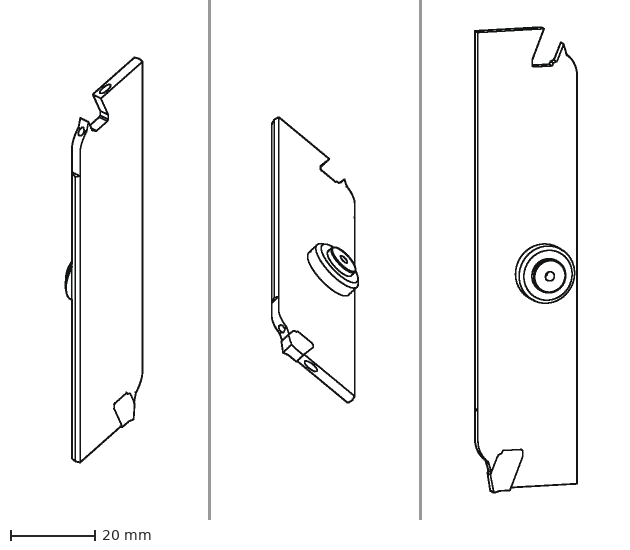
import cadquery as cq
import math

overall_length = 111.0
overall_depth = 8.0
blade_length = 110.0
blade_width = 25.3
blade_thickness = 2.4
ridge_height = 0.3
half_length = blade_length / 2
half_width = blade_width / 2
half_thickness = blade_thickness / 2
shoulder = half_width - ridge_height

nose_radius = 6.5
nose_arc_center_y = nose_radius - shoulder
nose_arc_start_z = 43.3
nose_arc_end_z = 48.5
ridge_end_z = 35.5
ridge_fade = 0.7
nose_tip = (-9.0, 51.1)
nose_bevel = (-9.1, 50.6)

seat_floor_z = 46.0
seat_back_y = -1.2
seat_back_top_z = 47.7
seat_corner = 0.3
jaw_tip_y = -4.1
seat_step = [(-7.5, 47.5), (-7.2, 47.0), (-6.4, 46.6), (-6.1, seat_floor_z)]

cutting_width = 3.0
insert_overhang = 0.7
edge_tip = (-8.4, overall_length - half_length)
insert_heel = (-9.2, 51.6)
insert_top_z = half_length + insert_overhang
insert_back_top_y = -4.3
rake_start_y = -6.9

outlet_diameter = 1.3
outlet_length = 8.9
jaw_outlet_y = -0.8
jaw_outlet_angle = 20
nose_outlet_y = -10.2

connector_y = -3.9
connector_z = -3.7
flange_radius = 6.9
flange_height = 2.9
flange_chamfer = 0.9
spigot_radius = 4.0
spigot_chamfer = 0.2
bore_radius = 1.1
connector_height = overall_depth - cutting_width / 2 - half_thickness


def turned_end_for_end(body):
    """Half a turn about the X axis: the upper end of the blade becomes the lower one."""
    return body.rotate((0, 0, 0), (1, 0, 0), 180)


def across_blade(sketch, thickness):
    return sketch.extrude(thickness / 2, both=True)


def seat_outline():
    """Points of the seat from the nose tip, along the floor, to the jaw tip."""
    return [
        nose_tip,
        *seat_step,
        (seat_back_y - seat_corner, seat_floor_z),
        (seat_back_y, seat_floor_z + seat_corner),
        (seat_back_y, seat_back_top_z),
        (jaw_tip_y, half_length),
    ]


def blade_bar():
    return (
        cq.Workplane("XY")
        .workplane(offset=-half_length)
        .moveTo(-half_thickness, -shoulder)
        .lineTo(0, -half_width)
        .lineTo(half_thickness, -shoulder)
        .lineTo(half_thickness, shoulder)
        .lineTo(0, half_width)
        .lineTo(-half_thickness, shoulder)
        .close()
        .extrude(blade_length)
    )


def end_cutout():
    """Everything cut away around the nose and the seat of the upper end."""
    arc_rise = nose_arc_end_z - nose_arc_start_z
    end_angle = math.asin(arc_rise / nose_radius)
    arc_end_y = nose_arc_center_y - nose_radius * math.cos(end_angle)
    arc_middle = (
        nose_arc_center_y - nose_radius * math.cos(end_angle / 2),
        nose_arc_start_z + nose_radius * math.sin(end_angle / 2),
    )
    outline = (
        cq.Workplane("YZ")
        .moveTo(-half_width, ridge_end_z)
        .lineTo(-shoulder, ridge_end_z + ridge_fade)
        .lineTo(-shoulder, nose_arc_start_z)
        .threePointArc(arc_middle, (arc_end_y, nose_arc_end_z))
        .lineTo(*nose_bevel)
    )
    for point in seat_outline():
        outline = outline.lineTo(*point)
    return across_blade(outline.lineTo(-half_width, half_length).close(), 2 * blade_thickness)


def outlet(y, z, direction):
    """A coolant hole centred on the given surface point, running back into the blade."""
    dy, dz = direction
    start = cq.Vector(0, y + outlet_length / 2 * dy, z + outlet_length / 2 * dz)
    hole = cq.Solid.makeCylinder(
        outlet_diameter / 2, outlet_length, start, cq.Vector(0, -dy, -dz)
    )
    return cq.Workplane(obj=hole)


def coolant_outlets():
    jaw_angle = math.radians(jaw_outlet_angle)
    nose_offset = nose_outlet_y - nose_arc_center_y
    nose_outlet_z = nose_arc_start_z + math.sqrt(nose_radius**2 - nose_offset**2)
    jaw_outlet = outlet(jaw_outlet_y, half_length, (-math.cos(jaw_angle), math.sin(jaw_angle)))
    nose_outlet = outlet(nose_outlet_y, nose_outlet_z, (0, 1))
    return jaw_outlet.union(nose_outlet)


def connector():
    """Turned connector with a chamfered flange and a spigot, pointing along -X."""
    face = cq.Workplane("YZ", origin=(-half_thickness, connector_y, connector_z))
    flange = (
        face.circle(flange_radius)
        .extrude(-flange_height - flange_chamfer)
        .faces("<X")
        .chamfer(flange_chamfer)
    )
    spigot = (
        face.circle(spigot_radius)
        .extrude(-connector_height)
        .faces("<X")
        .chamfer(spigot_chamfer)
    )
    bore = face.circle(bore_radius).extrude(-connector_height)
    return flange.union(spigot).cut(bore)


def make_blade():
    body = blade_bar()
    for cutout in (end_cutout(), coolant_outlets()):
        body = body.cut(cutout).cut(turned_end_for_end(cutout))
    return body.union(connector())


def flared_edge():
    """Wedge whose flanks widen from the blade thickness to the cutting edge."""
    rake_start = (rake_start_y, insert_top_z)
    left, right = [
        [
            cq.Vector(side * half_thickness, *rake_start),
            cq.Vector(side * half_thickness, *insert_heel),
            cq.Vector(side * cutting_width / 2, *edge_tip),
        ]
        for side in (-1, 1)
    ]
    loops = [left, right]
    corners = len(left)
    for i in range(corners):
        j = (i + 1) % corners
        loops.append([left[i], left[j], right[j], right[i]])
    faces = [cq.Face.makeFromWires(cq.Wire.makePolygon(loop, close=True)) for loop in loops]
    return cq.Workplane(obj=cq.Solid.makeSolid(cq.Shell.makeShell(faces)))


def make_insert():
    """Insert that fills the lower seat, modelled at the upper end and turned over."""
    rake = [(insert_back_top_y, insert_top_z), (rake_start_y, insert_top_z)]
    outline = [insert_heel, *seat_outline(), *rake]
    shank = across_blade(cq.Workplane("YZ").polyline(outline).close(), blade_thickness)
    return turned_end_for_end(shank.union(flared_edge()))


blade = make_blade()
insert = make_insert()
result = cq.Compound.makeCompound([blade.solids().val(), insert.solids().val()])